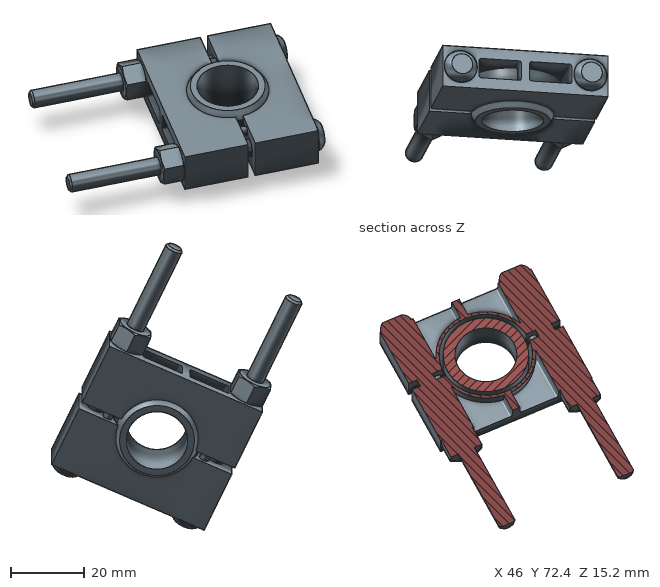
import cadquery as cq
import math


bushing_height = 15.2
bore_radius = 8.4
ball_radius = 12.75
band_radius = 11.7

clamp_length = 46.0
clamp_height = 11.9
half_depth = 18.0
split_gap = 2.0
rear_face = split_gap / 2 + half_depth

pocket_inner_x = 1.15
pocket_outer_x = 12.9
pocket_height = 5.65
pocket_corner_radius = 0.7
seat_wall = 1.0
pocket_floor_radius = ball_radius + seat_wall

bolt_x = 18.0
bolt_radius = 2.45
bolt_tip_chamfer = 0.6
overall_depth = 72.4
head_height = 2.45
head_radius = 4.55
head_rim_height = 0.4
head_top_radius = 2.9
dome_bulge = 0.3
head_top = rear_face + head_height
bolt_tip = head_top - overall_depth
nut_height = 6.0
nut_across_flats = 9.5
nut_corner_diameter = nut_across_flats / math.cos(math.radians(30))
nut_face_radius = 4.55
nut_chamfer_angle = 22.0

pin_x = 14.55
pin_z = 3.3
pin_radius = 1.3


def cylinder_along_y(radius, x, z, y_start, y_end):
    """Solid cylinder parallel to Y."""
    return cq.Workplane(cq.Solid.makeCylinder(
        radius, y_end - y_start, cq.Vector(x, y_start, z), cq.Vector(0, 1, 0)))


def make_bushing():
    """Ball with a flattened equator, cut flat at both ends and bored through."""
    end_z = bushing_height / 2
    end_radius = math.sqrt(ball_radius**2 - end_z**2)
    band_z = math.sqrt(ball_radius**2 - band_radius**2)
    arc_z = (end_z + band_z) / 2
    arc_radius = math.sqrt(ball_radius**2 - arc_z**2)
    profile = (
        cq.Workplane("XZ")
        .moveTo(bore_radius, -end_z)
        .lineTo(end_radius, -end_z)
        .threePointArc((arc_radius, -arc_z), (band_radius, -band_z))
        .lineTo(band_radius, band_z)
        .threePointArc((arc_radius, arc_z), (end_radius, end_z))
        .lineTo(bore_radius, end_z)
        .close()
    )
    return profile.revolve(360, (0, 0, 0), (0, 1, 0))


def make_clamp_half(side):
    """Half block on the +Y (side = 1) or -Y (side = -1) side, with two pockets in its outer face."""
    center_y = side * (split_gap + half_depth) / 2
    half = cq.Workplane("XY").box(clamp_length, half_depth, clamp_height).translate((0, center_y, 0))
    pocket_width = pocket_outer_x - pocket_inner_x
    pocket_center_x = (pocket_inner_x + pocket_outer_x) / 2
    floor_ball = cq.Workplane("XY").sphere(pocket_floor_radius)
    for direction in (-1, 1):
        pocket = (
            cq.Workplane("XY")
            .box(pocket_width, half_depth, pocket_height)
            .edges("|Y")
            .fillet(pocket_corner_radius)
            .translate((direction * pocket_center_x, center_y, 0))
            .cut(floor_ball)
        )
        half = half.cut(pocket)
    return half


def make_bolt(x):
    """Button-head bolt with a chamfered tip, its head resting on the rear face."""
    rim_top = rear_face + head_rim_height
    shoulder = bolt_tip + bolt_tip_chamfer
    profile = (
        cq.Workplane("XY")
        .moveTo(0, bolt_tip)
        .lineTo(bolt_radius - bolt_tip_chamfer, bolt_tip)
        .lineTo(bolt_radius, shoulder)
        .lineTo(bolt_radius, rear_face)
        .lineTo(head_radius, rear_face)
        .lineTo(head_radius, rim_top)
        .sagittaArc((head_top_radius, head_top), -dome_bulge)
        .lineTo(0, head_top)
        .close()
    )
    return profile.revolve(360, (0, 0, 0), (0, 1, 0)).translate((x, 0, 0))


def make_nut(x):
    """Hex nut with corners up and down, chamfered at both ends, against the front face."""
    hexagon = (
        cq.Workplane("XZ")
        .polygon(6, nut_corner_diameter)
        .extrude(nut_height)
        .rotate((0, 0, 0), (0, 1, 0), 90)
    )
    corner_radius = nut_corner_diameter / 2
    chamfer_depth = (corner_radius - nut_face_radius) * math.tan(math.radians(nut_chamfer_angle))
    chamfer_envelope = (
        cq.Workplane("XY")
        .moveTo(0, 0)
        .lineTo(nut_face_radius, 0)
        .lineTo(corner_radius, -chamfer_depth)
        .lineTo(corner_radius, chamfer_depth - nut_height)
        .lineTo(nut_face_radius, -nut_height)
        .lineTo(0, -nut_height)
        .close()
        .revolve(360, (0, 0, 0), (0, 1, 0))
    )
    return hexagon.intersect(chamfer_envelope).translate((x, -rear_face, 0))


def make_clamp():
    """Both halves joined by their bolts, nuts and spacer pins, with a seat for the bushing."""
    clamp = make_clamp_half(1).union(make_clamp_half(-1))
    for x_side in (-1, 1):
        clamp = clamp.union(make_bolt(x_side * bolt_x)).union(make_nut(x_side * bolt_x))
        for z_side in (-1, 1):
            pin = cylinder_along_y(
                pin_radius, x_side * pin_x, z_side * pin_z, -split_gap / 2, split_gap / 2)
            clamp = clamp.union(pin)
    seat = cq.Workplane("XY").sphere(ball_radius)
    return clamp.cut(seat)


bushing = make_bushing()
clamp = make_clamp()

result = cq.Compound.makeCompound([bushing.val(), *clamp.solids().vals()])